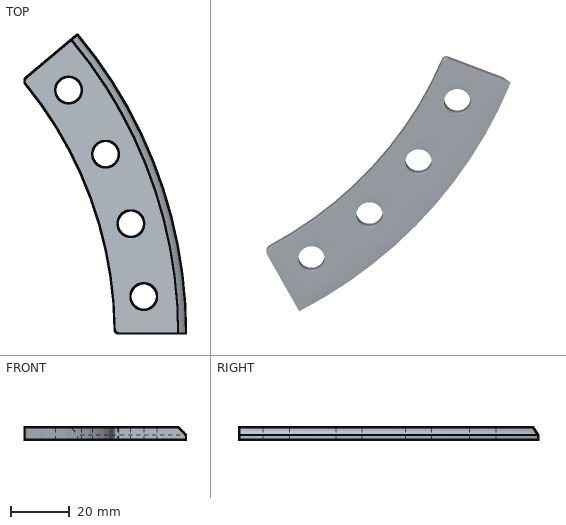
import cadquery as cq
import math

length = 102.2
inner_radius = 134.5
sweep_angle = 40.0
outer_radius = length / math.sin(math.radians(sweep_angle))
thickness = 4.4
bevel = 2.8
corner_radius = 1.5
hole_diameter = 9.0
hole_circle_radius = 145.0
hole_count = 4


def polar_point(radius, angle):
    """Point at a radius and an angle in degrees about the arc centre."""
    return (radius * math.cos(math.radians(angle)), radius * math.sin(math.radians(angle)))


def make_sector():
    """Flat ring segment with rounded inner corners."""
    sector = (
        cq.Workplane("XY")
        .moveTo(inner_radius, 0)
        .lineTo(outer_radius, 0)
        .threePointArc(polar_point(outer_radius, sweep_angle / 2), polar_point(outer_radius, sweep_angle))
        .lineTo(*polar_point(inner_radius, sweep_angle))
        .threePointArc(polar_point(inner_radius, sweep_angle / 2), (inner_radius, 0))
        .close()
        .extrude(thickness)
    )
    inner_corners = [polar_point(inner_radius, angle) for angle in (0, sweep_angle)]
    for x, y in inner_corners:
        corner_edge = cq.selectors.NearestToPointSelector((x, y, thickness / 2))
        sector = sector.edges("|Z").edges(corner_edge).fillet(corner_radius)
    return sector


def bevel_outer_edge(body):
    """Bevel the top edge of the outer arc."""
    outer_middle = (*polar_point(outer_radius, sweep_angle / 2), thickness)
    return body.edges(cq.selectors.NearestToPointSelector(outer_middle)).chamfer(bevel)


def drill_holes(body):
    """Through holes, one in the middle of each equal share of the sweep."""
    hole_pitch = sweep_angle / hole_count
    centers = [polar_point(hole_circle_radius, (i + 0.5) * hole_pitch) for i in range(hole_count)]
    holes = cq.Workplane("XY").pushPoints(centers).circle(hole_diameter / 2).extrude(thickness)
    return body.cut(holes)


result = drill_holes(bevel_outer_edge(make_sector()))